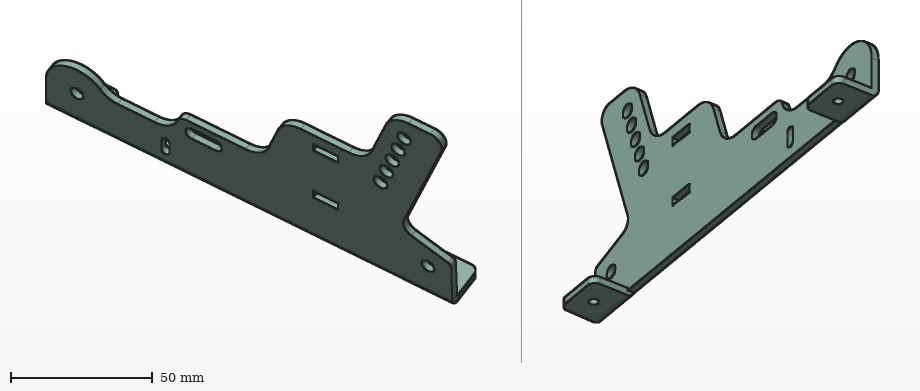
import cadquery as cq
import math

length = 170.0
height = 89.0
depth = 18.0
thickness = 3.0
bend_inner_radius = 0.3
bend_outer_radius = thickness + bend_inner_radius
web_bottom = 2.0

lean = math.tan(math.radians(18))
lobe_radius = 13.0
pivot_z = 16.0
valley_z = 21.2
low_ledge_z = 31.0
high_ledge_z = 57.0
low_step_x = 52.7
middle_step_x = 90.8
arm_front_x = 134.0
arm_back_x = 167.5
heel_z = 22.8
end_taper = 0.5
large_radius = 10.0
medium_radius = 5.0
low_step_radius = 3.9
heel_radius = 2.0

tab_length = 20.0
right_tab_length = 20.4
tab_corner_radius = 3.0
tab_hole_diameter = 3.5
tab_hole_x = 9.9
tab_hole_y = 10.5

pivot_hole_diameter = 5.3
pivot_hole_inset = 10.2
arm_hole_diameter = 5.6
arm_hole_count = 5
arm_hole_pitch = 8.0
arm_hole_x = 139.9
arm_hole_z = 49.1
window_length = 10.4
window_height = 3.4
window_x = 117.0
window_levels = (24.5, 50.3)
long_slot_length = 15.1
long_slot_width = 5.3
long_slot_x = 66.0
long_slot_z = 24.8
short_slot_length = 8.5
short_slot_width = 3.4
short_slot_x = 50.0
short_slot_z = 10.9


def front_plane():
    """Sketch plane on the front face; extruding by a negative length goes into the sheet."""
    return cq.Workplane("XZ")


def upright():
    fillet_z = valley_z + large_radius
    center_distance = lobe_radius + large_radius
    fillet_x = lobe_radius + math.sqrt(center_distance**2 - (fillet_z - pivot_z) ** 2)
    share = lobe_radius / center_distance
    lobe_end = (
        lobe_radius + share * (fillet_x - lobe_radius),
        pivot_z + share * (fillet_z - pivot_z),
    )
    fillet_start = math.atan2(pivot_z - fillet_z, lobe_radius - fillet_x)
    fillet_angle = (fillet_start - math.pi / 2) / 2
    fillet_middle = (
        fillet_x + large_radius * math.cos(fillet_angle),
        fillet_z + large_radius * math.sin(fillet_angle),
    )

    heel_x = length - end_taper
    rear_foot_x = arm_back_x - lean * (height - heel_z)
    crotch_rise = lean * (heel_x - rear_foot_x) / (1 + lean**2)
    crotch = (rear_foot_x + lean * crotch_rise, heel_z + crotch_rise)

    def rise(foot_x, foot_z, top_z):
        return (foot_x, foot_z), (foot_x + lean * (top_z - foot_z), top_z)

    low_step = rise(low_step_x, valley_z, low_ledge_z)
    middle_step = rise(middle_step_x, low_ledge_z, high_ledge_z)
    arm_front = rise(arm_front_x, high_ledge_z, height)
    arm_back = (arm_back_x, height)
    heel = (heel_x, heel_z)

    plate = (
        front_plane()
        .moveTo(0, bend_outer_radius)
        .lineTo(0, pivot_z)
        .threePointArc((lobe_radius, pivot_z + lobe_radius), lobe_end)
        .threePointArc(fillet_middle, (fillet_x, valley_z))
        .polyline([*low_step, *middle_step, *arm_front, arm_back, crotch, heel], includeCurrent=True)
        .lineTo(length, bend_outer_radius)
        .close()
        .extrude(-thickness)
    )
    corner_radii = (
        (large_radius, (low_step[0], *middle_step, *arm_front)),
        (low_step_radius, (low_step[1],)),
        (medium_radius, (arm_back, crotch)),
        (heel_radius, (heel,)),
    )
    for radius, corners in corner_radii:
        for x, z in corners:
            corner_edge = cq.selectors.NearestToPointSelector((x, thickness / 2, z))
            plate = plate.edges("|Y").edges(corner_edge).fillet(radius)
    return plate


def bend():
    """Quarter-round strip under the upright, trimmed flat between the tabs."""
    strip = (
        cq.Workplane("YZ")
        .moveTo(0, bend_outer_radius)
        .radiusArc((bend_outer_radius, 0), -bend_outer_radius)
        .lineTo(bend_outer_radius, thickness)
        .radiusArc((thickness, bend_outer_radius), bend_inner_radius)
        .close()
        .extrude(length)
    )
    gap_length = length - tab_length - right_tab_length
    gap = cq.Workplane().box(gap_length, depth, web_bottom, centered=False).translate((tab_length, 0, 0))
    behind = (
        cq.Workplane()
        .box(gap_length, depth, bend_outer_radius, centered=False)
        .translate((tab_length, thickness, 0))
    )
    return strip.cut(gap).cut(behind)


def tab(left, right, tip_right, hole_x):
    return (
        cq.Workplane()
        .polyline([(left, bend_outer_radius), (right, bend_outer_radius), (tip_right, depth), (left, depth)])
        .close()
        .extrude(thickness)
        .edges("|Z and >Y")
        .fillet(tab_corner_radius)
        .cut(cq.Workplane().center(hole_x, tab_hole_y).circle(tab_hole_diameter / 2).extrude(thickness))
    )


def upright_openings():
    pivots = (
        front_plane()
        .pushPoints([(lobe_radius, pivot_z), (length - pivot_hole_inset, pivot_z)])
        .circle(pivot_hole_diameter / 2)
        .extrude(-thickness)
    )
    pitch_z = arm_hole_pitch / math.hypot(1, lean)
    arm_points = [
        (arm_hole_x + i * pitch_z * lean, arm_hole_z + i * pitch_z) for i in range(arm_hole_count)
    ]
    arm_holes = front_plane().pushPoints(arm_points).circle(arm_hole_diameter / 2).extrude(-thickness)
    windows = (
        front_plane()
        .pushPoints([(window_x, z) for z in window_levels])
        .rect(window_length, window_height)
        .extrude(-thickness)
    )
    long_slot = (
        front_plane()
        .center(long_slot_x, long_slot_z)
        .slot2D(long_slot_length, long_slot_width)
        .extrude(-thickness)
    )
    short_slot = (
        front_plane()
        .center(short_slot_x, short_slot_z)
        .slot2D(short_slot_length, short_slot_width, 90)
        .extrude(-thickness)
    )
    return pivots, arm_holes, windows, long_slot, short_slot


result = upright().union(bend())
result = result.union(tab(0, tab_length, tab_length, tab_hole_x))
result = result.union(
    tab(length - right_tab_length, length, length - end_taper, length - pivot_hole_inset)
)
for opening in upright_openings():
    result = result.cut(opening)